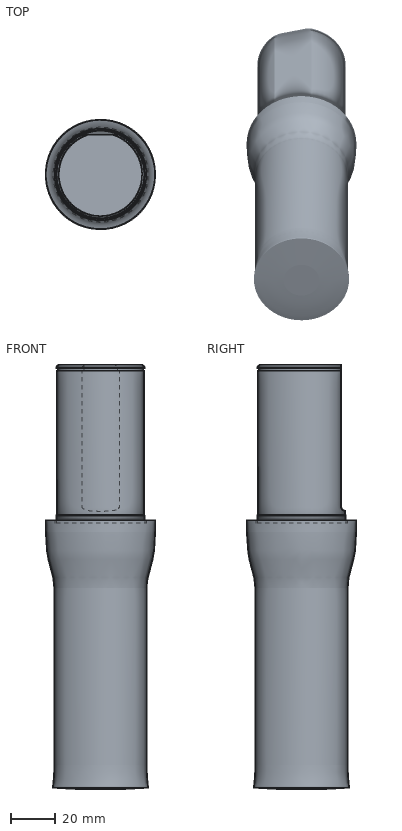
import cadquery as cq

total_height = 192.0
rim_bottom = 0.8
rim_top = 1.5
flare_top = 11.1
bell_bottom = 91.0
bell_mid_height = 102.5
collar_bottom = 116.4
collar_top = 121.7

shank_radius = 39.5 / 2
foot_radius = 40.0 / 2
lip_radius = foot_radius
groove_radius = 38.8 / 2
tube_radius = 41.9 / 2
rim_radius = 43.0 / 2
tip_radius = 8.0
bell_mid_radius = 23.2
collar_radius = 49.5 / 2

recess_radius = 41.5 / 2
recess_depth = 1.2
shank_bottom = collar_top - recess_depth

foot_height = 2.0
foot_chamfer_height = 0.4
lip_bottom = 190.3
lip_top = 190.8
groove_height = 1.2
top_chamfer_width = 1.2
flat_distance = 17.9
flat_bottom = 125.8
flat_runout_radius = 2.3


def make_shank():
    """Shank with a wider foot, a groove below its chamfered top lip and one long flat."""
    foot_top = collar_top + foot_height
    groove_top = lip_bottom
    groove_bottom = groove_top - groove_height
    profile = (
        cq.Workplane("XZ")
        .moveTo(0, shank_bottom)
        .lineTo(foot_radius, shank_bottom)
        .lineTo(foot_radius, foot_top)
        .lineTo(shank_radius, foot_top + foot_chamfer_height)
        .lineTo(shank_radius, groove_bottom)
        .lineTo(groove_radius, groove_bottom)
        .lineTo(groove_radius, groove_top)
        .lineTo(lip_radius, groove_top)
        .lineTo(lip_radius, lip_top)
        .lineTo(lip_radius - top_chamfer_width, total_height)
        .lineTo(0, total_height)
        .close()
    )
    shank = profile.revolve(360, (0, 0, 0), (0, 1, 0))
    return shank.cut(make_flat_cutter())


def make_flat_cutter():
    """Block beyond the flat, with a rounded run-out at its lower inner edge."""
    block_size = 2 * foot_radius
    cutter = cq.Workplane("XY").box(
        block_size, block_size, total_height, centered=(True, False, False)
    )
    return cutter.edges("|X and <Y and <Z").fillet(flat_runout_radius).translate(
        (0, flat_distance, flat_bottom)
    )


def make_body():
    """Tube-shaped body with a flared end and a shallow conical tip, a bell and a recessed collar."""
    profile = (
        cq.Workplane("XZ")
        .lineTo(0, shank_bottom)
        .lineTo(recess_radius, shank_bottom)
        .lineTo(recess_radius, collar_top)
        .lineTo(collar_radius, collar_top)
        .lineTo(collar_radius, collar_bottom)
        .spline(
            [(bell_mid_radius, bell_mid_height), (tube_radius, bell_bottom)],
            tangents=[(0, -1), (0, -1)],
            includeCurrent=True,
        )
        .lineTo(tube_radius, flare_top)
        .tangentArcPoint((rim_radius, rim_top), relative=False)
        .lineTo(rim_radius, rim_bottom)
        .lineTo(tip_radius, 0)
        .close()
    )
    return profile.revolve(360, (0, 0, 0), (0, 1, 0))


shank = make_shank()
body = make_body()
result = cq.Compound.makeCompound([shank.val(), body.val()])